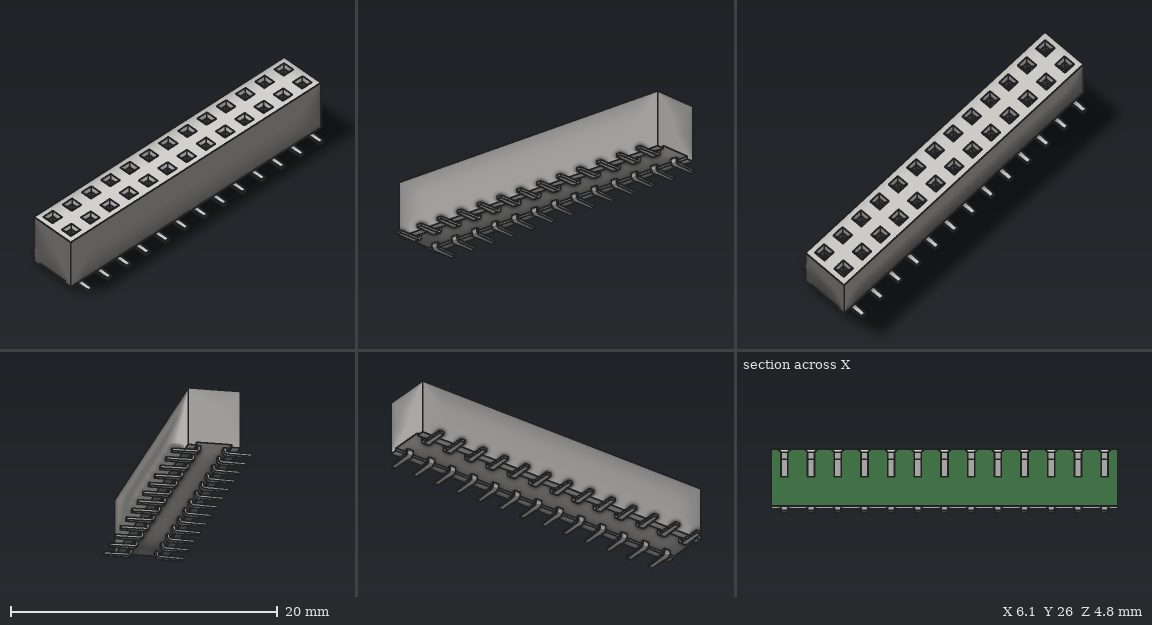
import cadquery as cq

length = 26.0
pins_per_row = 13
pitch = length / pins_per_row
row_x = pitch / 2
overall_width = 6.1
overall_height = 4.8

body_width = 2 * pitch
body_height = 4.5
body_bottom = overall_height - body_height
recess_width = 2.7
recess_height = 0.2

mouth_size = pitch / 2
throat_size = pitch / 4
taper_depth = (mouth_size - throat_size) / 2
socket_depth = 2.08

strip_thickness = 0.2
strip_width = 0.52
tip_width = 0.4
bend_inner_radius = 0.1
bend_outer_radius = bend_inner_radius + strip_thickness
contact_drop = 0.78
contact_top = overall_height - contact_drop


def make_body():
    """Box with a shallow channel along the underside."""
    base = cq.Workplane("XY").workplane(offset=body_bottom)
    box = base.rect(body_width, length).extrude(body_height)
    channel = base.rect(recess_width, length).extrude(recess_height)
    return box.cut(channel)


def make_socket():
    """Cutter for one socket: tapered mouth and straight square throat."""
    top = cq.Workplane("XY").workplane(offset=overall_height)
    mouth = top.rect(mouth_size, mouth_size).workplane(offset=-taper_depth).rect(throat_size, throat_size).loft()
    throat = top.rect(throat_size, throat_size).extrude(-socket_depth)
    return mouth.union(throat)


def make_contact():
    """Contact of the +X row: upright strip bent outward into a tapering solder tail."""
    inner_x = row_x - strip_thickness / 2
    outer_x = row_x + strip_thickness / 2
    tail_x = inner_x + bend_outer_radius
    tip_x = overall_width / 2
    profile = (
        cq.Workplane("XZ")
        .moveTo(inner_x, contact_top)
        .lineTo(inner_x, bend_outer_radius)
        .radiusArc((tail_x, 0), -bend_outer_radius)
        .lineTo(tip_x, 0)
        .lineTo(tip_x, strip_thickness)
        .lineTo(tail_x, strip_thickness)
        .radiusArc((outer_x, bend_outer_radius), bend_inner_radius)
        .lineTo(outer_x, contact_top)
        .close()
    )
    strip = profile.extrude(strip_width / 2, both=True)
    plan = (
        cq.Workplane("XY")
        .moveTo(inner_x, -strip_width / 2)
        .lineTo(tail_x, -strip_width / 2)
        .lineTo(tip_x, -tip_width / 2)
        .lineTo(tip_x, tip_width / 2)
        .lineTo(tail_x, strip_width / 2)
        .lineTo(inner_x, strip_width / 2)
        .close()
        .extrude(contact_top)
    )
    return strip.intersect(plan)


pin_ys = [(i - (pins_per_row - 1) / 2) * pitch for i in range(pins_per_row)]

socket = make_socket()
right_contact = make_contact()
left_contact = right_contact.mirror("YZ")

result = make_body()
for y in pin_ys:
    for x in (-row_x, row_x):
        result = result.cut(socket.translate((x, y, 0)))
for y in pin_ys:
    for contact in (left_contact, right_contact):
        result = result.union(contact.translate((0, y, 0)))